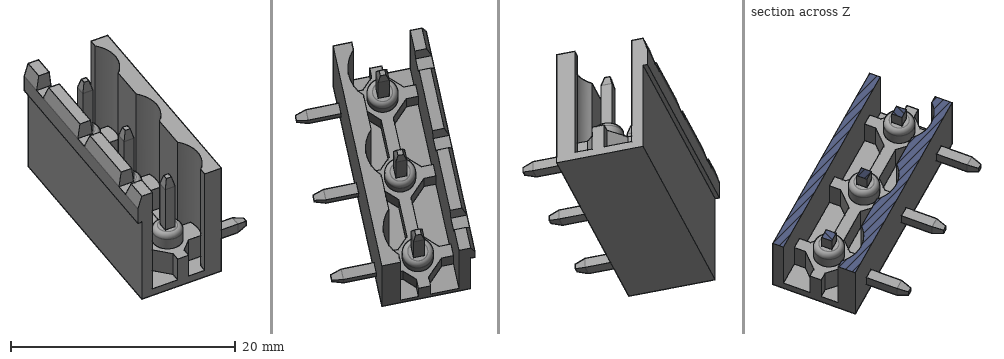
import cadquery as cq
import math


length = 21.05
height = 12.0
depth = 8.1
floor_thickness = 0.78
front_wall = 1.07
back_wall = 1.7
back_wall_inner_y = depth - back_wall

lip_overhang = 0.4
lip_height = 3.0
lip_bevel_height = 1.3

pole_count = 3
pitch = 7.62
pole_y = 4.2
pole_xs = [(i - (pole_count - 1) / 2) * pitch for i in range(pole_count)]

rib_top = 3.2
rib_width = 1.12
back_arm_width = 2.06
hub_half_diagonal = 2.6

boss_diameter = 2.8
boss_top = 4.8
boss_rounding = 0.5

scallop_radius = 3.0
scallop_depth = 0.9

notch_bottom_width = 1.2
notch_side_angle = 14.0

pin_width = 1.0
pin_tip_width = 0.5
pin_taper_length = 1.0
pin_top = 10.5
leg_axis_z = 2.0
leg_overhang = 4.0


def box(x_min, x_max, y_min, y_max, z_min, z_max):
    """Axis-aligned block between the given limits."""
    size = (x_max - x_min, y_max - y_min, z_max - z_min)
    return cq.Workplane("XY").box(*size, centered=False).translate((x_min, y_min, z_min))


def make_trough():
    """Floor, both walls and the bevelled latch lip as one extruded cross-section."""
    profile = [
        (0, 0),
        (depth, 0),
        (depth, height),
        (back_wall_inner_y, height),
        (back_wall_inner_y, floor_thickness),
        (front_wall, floor_thickness),
        (front_wall, height),
        (0, height),
        (-lip_overhang, height - lip_bevel_height),
        (-lip_overhang, height - lip_height),
        (0, height - lip_height),
    ]
    return cq.Workplane("YZ").polyline(profile).close().extrude(length / 2, both=True)


def make_scallop(x):
    """Cutter that hollows the back wall behind one pole, down to the floor."""
    center_y = back_wall_inner_y + scallop_depth - scallop_radius
    cylinder = (
        cq.Workplane("XY", origin=(x, center_y, floor_thickness))
        .circle(scallop_radius)
        .extrude(height - floor_thickness)
    )
    wall_zone = box(-length / 2, length / 2, back_wall_inner_y, depth, floor_thickness, height)
    return cylinder.intersect(wall_zone)


def make_notch(x):
    """Flared cutter through the front wall at one pole."""
    half_bottom = notch_bottom_width / 2
    half_top = half_bottom + lip_bevel_height * math.tan(math.radians(notch_side_angle))
    bottom_z = height - lip_bevel_height
    profile = [
        (x - half_bottom, bottom_z),
        (x + half_bottom, bottom_z),
        (x + half_top, height),
        (x - half_top, height),
    ]
    return (
        cq.Workplane("XZ", origin=(0, front_wall, 0))
        .polyline(profile)
        .close()
        .extrude(front_wall + lip_overhang)
    )


def make_long_rib():
    """Rib running the full length through all the poles."""
    half = rib_width / 2
    return box(-length / 2, length / 2, pole_y - half, pole_y + half, 0, rib_top)


def make_pole_base(x):
    """Diamond hub, arms to both walls and the round boss of one pole."""
    hub_side = hub_half_diagonal * math.sqrt(2)
    hub = (
        cq.Workplane("XY", origin=(x, pole_y, 0))
        .transformed(rotate=(0, 0, 45))
        .rect(hub_side, hub_side)
        .extrude(rib_top)
    )
    front_arm = box(x - rib_width / 2, x + rib_width / 2, 0, pole_y, 0, rib_top)
    back_arm = box(x - back_arm_width / 2, x + back_arm_width / 2, pole_y, depth, 0, rib_top)
    boss = (
        cq.Workplane("XY", origin=(x, pole_y, 0))
        .circle(boss_diameter / 2)
        .extrude(boss_top)
        .faces(">Z")
        .edges()
        .fillet(boss_rounding)
    )
    return hub.union(front_arm).union(back_arm).union(boss)


def make_tapered_bar(start, direction, bar_length):
    """Square bar from start along direction, with its far end tapered on all four sides."""
    shank_length = bar_length - pin_taper_length
    plane = cq.Plane(origin=start, xDir=(1, 0, 0), normal=direction)
    shank = cq.Workplane(plane).rect(pin_width, pin_width).extrude(shank_length)
    tip = (
        cq.Workplane(plane)
        .workplane(offset=shank_length)
        .rect(pin_width, pin_width)
        .workplane(offset=pin_taper_length)
        .rect(pin_tip_width, pin_tip_width)
        .loft(ruled=True)
    )
    return shank.union(tip)


def make_pin(x):
    """Right-angle pin: an upright contact and a leg leaving through the back wall."""
    half = pin_width / 2
    heel_z = leg_axis_z - half
    heel_y = pole_y - half
    contact = make_tapered_bar((x, pole_y, heel_z), (0, 0, 1), pin_top - heel_z)
    leg = make_tapered_bar((x, heel_y, leg_axis_z), (0, 1, 0), depth + leg_overhang - heel_y)
    return contact.union(leg)


def make_housing(pins):
    """Housing with all its poles, and a matching passage for every pin."""
    housing = make_trough()
    for x in pole_xs:
        housing = housing.cut(make_scallop(x)).cut(make_notch(x))
    housing = housing.union(make_long_rib())
    for x in pole_xs:
        housing = housing.union(make_pole_base(x))
    for pin in pins:
        housing = housing.cut(pin)
    return housing


pins = [make_pin(x) for x in pole_xs]
housing = make_housing(pins)

result = cq.Compound.makeCompound([housing.solids().val(), *[pin.solids().val() for pin in pins]])